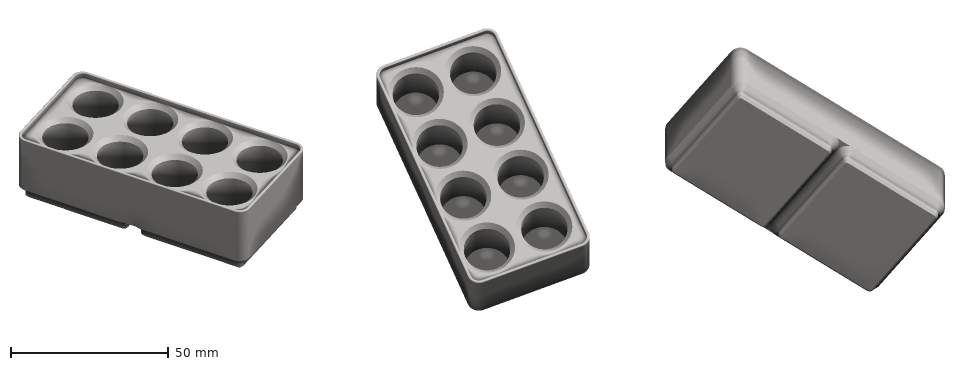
import cadquery as cq

grid_pitch = 42.0
cells_x = 2
cells_y = 1
clearance = 0.5
body_length = cells_x * grid_pitch - clearance
body_width = cells_y * grid_pitch - clearance
total_height = 24.43
cell_corner_radius = 4.0
body_corner_radius = cell_corner_radius - clearance / 2

foot_bottom_chamfer = 0.8
foot_straight_height = 1.8
foot_top_chamfer = 2.4
foot_height = foot_bottom_chamfer + foot_straight_height + foot_top_chamfer

rim_height = 2.0
rim_thickness = 1.0
rim_edge_round = 0.3
deck_height = total_height - rim_height

pocket_columns = 4
pocket_rows = 2
pocket_pitch_x = 19.9
pocket_pitch_y = 19.7
pocket_row_offset = 1.0
pocket_diameter = 14.8
pocket_mouth_chamfer = 1.5
pocket_depth = 15.0


def rounded_block(length, width, height, radius):
    """Upright block centred on the Z axis, standing on Z = 0."""
    block = cq.Workplane("XY").box(length, width, height, centered=(True, True, False))
    return block.edges("|Z").fillet(radius)


def rounded_outline(length, width, radius, z):
    """Rectangle with rounded corners, centred on the Z axis at height z."""
    outline = cq.Sketch().rect(length, width).vertices().fillet(radius)
    return outline.moved(cq.Location(cq.Vector(0, 0, z)))


def flared_block(length, width, radius, growth):
    """Rounded block on Z = 0 that widens at 45 degrees by growth on every side."""
    bottom = rounded_outline(length, width, radius, 0)
    top = rounded_outline(length + 2 * growth, width + 2 * growth, radius + growth, growth)
    return cq.Workplane("XY").placeSketch(bottom, top).loft(ruled=True)


def centred_position(index, count, pitch):
    """Coordinate of one item in an evenly spaced row centred on zero."""
    return (index - (count - 1) / 2) * pitch


def make_foot():
    """Foot of one grid cell: bevelled bottom, straight band, flare out to the cell size."""
    middle_size = grid_pitch - 2 * foot_top_chamfer
    middle_radius = cell_corner_radius - foot_top_chamfer
    bottom_size = middle_size - 2 * foot_bottom_chamfer
    bottom_radius = middle_radius - foot_bottom_chamfer
    upper_start = foot_bottom_chamfer + foot_straight_height

    lower = flared_block(bottom_size, bottom_size, bottom_radius, foot_bottom_chamfer)
    middle = rounded_block(middle_size, middle_size, foot_straight_height, middle_radius)
    upper = flared_block(middle_size, middle_size, middle_radius, foot_top_chamfer)
    return (
        lower
        .union(middle.translate((0, 0, foot_bottom_chamfer)))
        .union(upper.translate((0, 0, upper_start)))
    )


def make_body():
    """Solid rounded block on its feet, with the feet trimmed to the block's outline."""
    upper_height = total_height - foot_height
    upper = rounded_block(body_length, body_width, upper_height, body_corner_radius)
    body = upper.translate((0, 0, foot_height))

    envelope = rounded_block(body_length, body_width, foot_height, body_corner_radius)
    foot = make_foot()
    for column in range(cells_x):
        for row in range(cells_y):
            x = centred_position(column, cells_x, grid_pitch)
            y = centred_position(row, cells_y, grid_pitch)
            body = body.union(foot.translate((x, y, 0)).intersect(envelope))
    return body


def make_rim_recess():
    """Shallow recess that leaves the thin rim standing around the deck."""
    recess = rounded_block(
        body_length - 2 * rim_thickness,
        body_width - 2 * rim_thickness,
        rim_height,
        body_corner_radius - rim_thickness,
    )
    return recess.translate((0, 0, deck_height))


def make_pocket():
    """Pocket shape hanging below Z = 0, with a conical mouth."""
    radius = pocket_diameter / 2
    mouth_radius = radius + pocket_mouth_chamfer
    return (
        cq.Workplane("XZ")
        .moveTo(0, 0)
        .lineTo(mouth_radius, 0)
        .lineTo(radius, -pocket_mouth_chamfer)
        .lineTo(radius, -pocket_depth)
        .lineTo(0, -pocket_depth)
        .close()
        .revolve(360, (0, 0, 0), (0, 1, 0))
    )


def round_rim(part):
    """Round both edges of the rim's flat top."""
    return part.faces(">Z").edges().fillet(rim_edge_round)


def cut_pockets(part):
    pocket = make_pocket()
    for column in range(pocket_columns):
        for row in range(pocket_rows):
            x = centred_position(column, pocket_columns, pocket_pitch_x)
            y = centred_position(row, pocket_rows, pocket_pitch_y) + pocket_row_offset
            part = part.cut(pocket.translate((x, y, deck_height)))
    return part


bin_body = round_rim(make_body().cut(make_rim_recess()))
result = cut_pockets(bin_body)